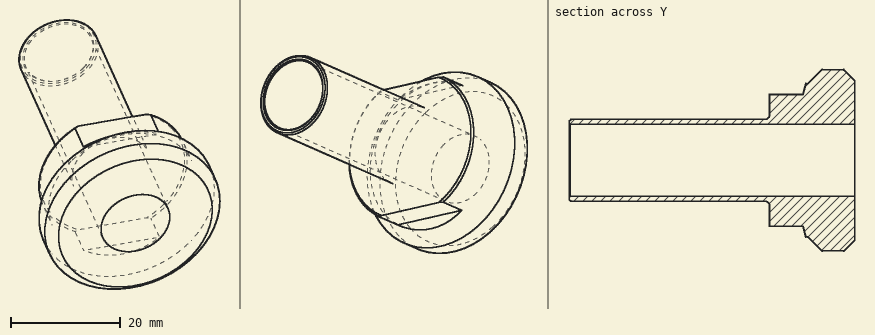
import cadquery as cq
import math

length = 52.0
tube_radius = 15.0 / 2
bore_radius = 13.0 / 2
collar_radius = 28.0 / 2
flange_radius = 33.1 / 2

collar_start = 36.45
flange_rim_start = 46.0
flange_chamfer = 2.05
collar_chamfer = 0.35
tube_chamfer = 0.3
bore_chamfer = 0.2
tube_fillet = 0.85
flange_fillet = 0.75
cone_angle = 45.0

across_flats = 24.0
flat_end = 42.55
flat_runout_angle = 15.0

cone_start = flange_rim_start - (flange_radius - collar_radius) / math.tan(math.radians(cone_angle))


def turned_body():
    """Tube, collar and flange, blended by two concave fillets, with a through bore."""
    diagonal = math.sqrt(0.5)
    fillet_start = cone_start - flange_fillet * math.tan(math.radians(cone_angle / 2))
    fillet_centre_radius = collar_radius + flange_fillet

    def flange_fillet_point(degrees):
        angle = math.radians(degrees)
        return (
            fillet_start + flange_fillet * math.sin(angle),
            fillet_centre_radius - flange_fillet * math.cos(angle),
        )

    tube_fillet_middle = (
        collar_start - tube_fillet * (1 - diagonal),
        tube_radius + tube_fillet * (1 - diagonal),
    )
    return (
        cq.Workplane("XY")
        .moveTo(bore_chamfer, bore_radius)
        .lineTo(0, bore_radius + bore_chamfer)
        .lineTo(0, tube_radius - tube_chamfer)
        .lineTo(tube_chamfer, tube_radius)
        .lineTo(collar_start - tube_fillet, tube_radius)
        .threePointArc(tube_fillet_middle, (collar_start, tube_radius + tube_fillet))
        .lineTo(collar_start, collar_radius - collar_chamfer)
        .lineTo(collar_start + collar_chamfer, collar_radius)
        .lineTo(fillet_start, collar_radius)
        .threePointArc(flange_fillet_point(cone_angle / 2), flange_fillet_point(cone_angle))
        .lineTo(flange_rim_start, flange_radius)
        .lineTo(length - flange_chamfer, flange_radius)
        .lineTo(length, flange_radius - flange_chamfer)
        .lineTo(length, bore_radius)
        .close()
        .revolve(360, (0, 0, 0), (1, 0, 0))
    )


def flat_cutter():
    """Material above the upper wrench flat, with a sloping run-out towards the flange."""
    flat_height = across_flats / 2
    rise = collar_radius - flat_height
    runout = rise * math.tan(math.radians(flat_runout_angle))
    return (
        cq.Workplane("XZ")
        .moveTo(collar_start, flat_height)
        .lineTo(flat_end, flat_height)
        .lineTo(flat_end + runout, collar_radius)
        .lineTo(collar_start, collar_radius)
        .close()
        .extrude(collar_radius, both=True)
    )


upper_flat = flat_cutter()
lower_flat = upper_flat.mirror("XY")
result = turned_body().cut(upper_flat).cut(lower_flat)